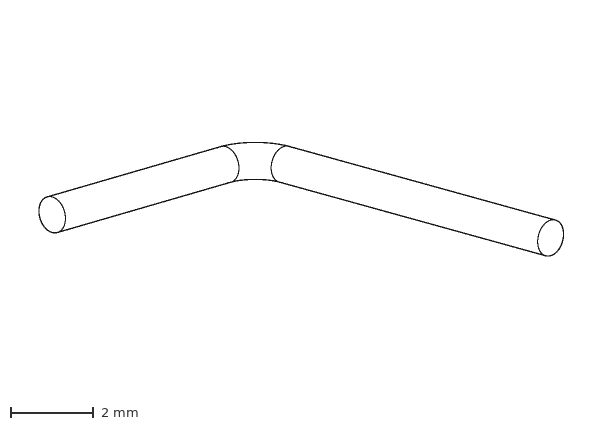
import cadquery as cq

wire_radius = 0.45
bend_radius = 1.0
bend_angle = 90
long_leg_length = 9.0
short_leg_length = 6.0


def make_leg(start, direction, length):
    """Straight round leg whose circular end face starts at the given point."""
    end_plane = cq.Plane(origin=start, xDir=(0, 0, 1), normal=direction)
    return cq.Workplane(end_plane).circle(wire_radius).extrude(length)


def make_elbow():
    """Quarter torus that turns the wire from the short leg to the long leg."""
    axis_start = (bend_radius, 0)
    axis_end = (bend_radius, -1)
    return (
        cq.Workplane("XZ")
        .center(-bend_radius, 0)
        .circle(wire_radius)
        .revolve(bend_angle, axis_start, axis_end)
    )


long_leg = make_leg((0, bend_radius, 0), (1, 0, 0), long_leg_length)
short_leg = make_leg((-bend_radius, 0, 0), (0, -1, 0), short_leg_length)
elbow = make_elbow()

result = cq.Compound.makeCompound([long_leg.val(), elbow.val(), short_leg.val()])